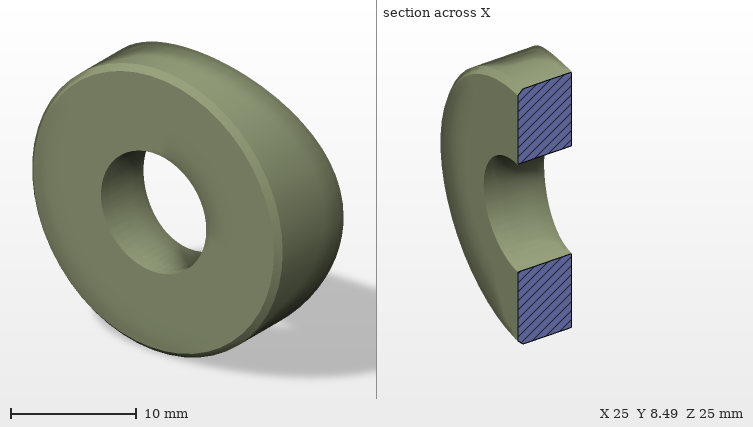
import cadquery as cq

outer_diameter = 25.0
hole_diameter = 10.5
center_thickness = 5.0
edge_chamfer = 0.5
tube_diameter = 48.3

outer_radius = outer_diameter / 2
tube_radius = tube_diameter / 2
tube_axis_y = center_thickness + tube_radius


def make_disc():
    """Disc along +Y with a chamfered front rim, long enough to reach the tube axis."""
    disc = cq.Workplane("XZ").circle(outer_radius).extrude(-tube_axis_y)
    return disc.faces("<Y").edges().chamfer(edge_chamfer)


def make_tube():
    """Cylinder along Z whose surface forms the saddle, spanning twice the disc height."""
    return (
        cq.Workplane("XY")
        .center(0, tube_axis_y)
        .circle(tube_radius)
        .extrude(outer_diameter, both=True)
    )


def make_hole():
    """Through bore on the washer axis."""
    return cq.Workplane("XZ").circle(hole_diameter / 2).extrude(-tube_axis_y)


result = make_disc().cut(make_tube()).cut(make_hole())